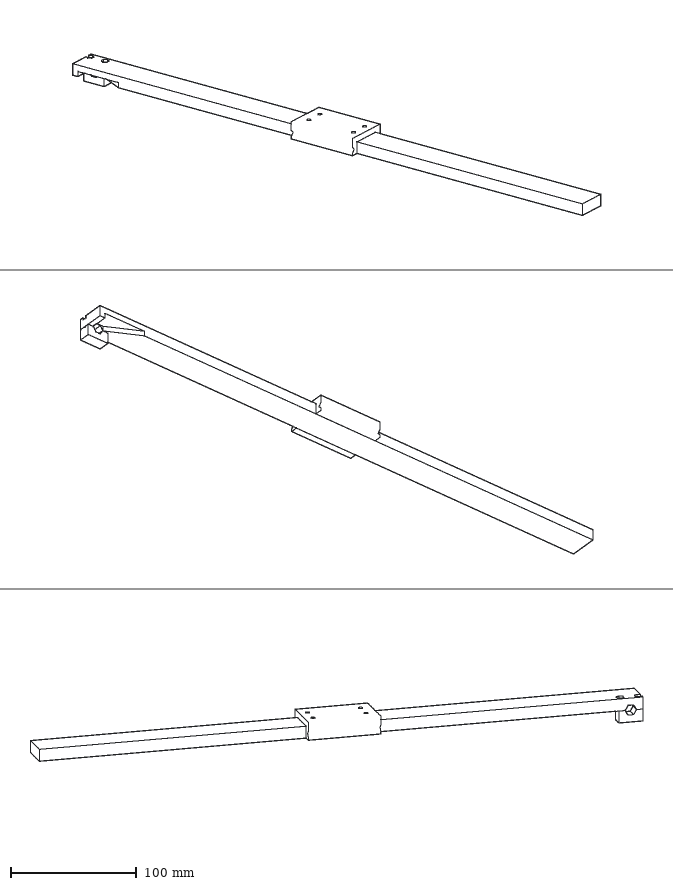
import cadquery as cq
import math

RAIL_LENGTH = 500.0
RAIL_WIDTH = 25.0
FOOT_LENGTH = 20.0
FOOT_WIDTH = 10.0
FOOT_HEIGHT = 10.0
RAIL_THICKNESS = 10.0
RAIL_TOP = FOOT_HEIGHT + RAIL_THICKNESS
RAIL_SIDE = RAIL_WIDTH / 2
FOOT_INNER_SIDE = RAIL_SIDE - FOOT_WIDTH

RECESS_START = 5.0
RECESS_FLAT_END = 15.0
RECESS_END = 45.0
RECESS_HEIGHT = 4.5

BORE_ACROSS_FLATS = 8.0
BORE_X = FOOT_LENGTH / 2

SCREW_HOLE_DIAMETER = 3.2
POCKET_ACROSS_FLATS = 5.5
POCKET_DEPTH = 2.0
POCKET_TURN = 30.0
FIXING_SPACING = 15.0
FIXING_Y = FOOT_INNER_SIDE + FOOT_WIDTH / 2

CARRIAGE_START = 219.0
CARRIAGE_LENGTH = 60.0
CARRIAGE_WIDTH = 38.0
CARRIAGE_TOP = 25.0
CARRIAGE_SIDE = CARRIAGE_WIDTH / 2
GROOVE_Z = 15.0
GROOVE_DEPTH = 2.75
EDGE_RADIUS = 0.5
HOLE_SPACING_X = 44.0
HOLE_SPACING_Y = 15.0
HOLE_PATTERN_X = RAIL_LENGTH / 2


def across_corners(across_flats):
    """Circumscribed diameter of a regular hexagon."""
    return across_flats / math.cos(math.pi / 6)


def make_hex_bore():
    """Hexagonal prism along Y, spanning the rail width, with flats at top and bottom."""
    return (
        cq.Workplane("XZ", origin=(BORE_X, RAIL_SIDE, FOOT_HEIGHT))
        .polygon(6, across_corners(BORE_ACROSS_FLATS))
        .extrude(RAIL_WIDTH)
    )


def make_recess():
    """Flat-backed pocket that runs out to the -Y side along a slanted wall."""
    return (
        cq.Workplane("XY", origin=(0, 0, FOOT_HEIGHT))
        .moveTo(RECESS_START, -RAIL_SIDE)
        .lineTo(RECESS_START, FOOT_INNER_SIDE)
        .lineTo(RECESS_FLAT_END, FOOT_INNER_SIDE)
        .lineTo(RECESS_END, -RAIL_SIDE)
        .close()
        .extrude(RECESS_HEIGHT)
    )


def make_fixing_hole(x):
    """Screw hole through the rail with a hexagonal pocket at the top, two corners along Y."""
    hole = (
        cq.Workplane("XY", origin=(x, FIXING_Y, FOOT_HEIGHT))
        .circle(SCREW_HOLE_DIAMETER / 2)
        .extrude(RAIL_THICKNESS)
    )
    pocket = (
        cq.Workplane("XY", origin=(x, FIXING_Y, RAIL_TOP - POCKET_DEPTH))
        .transformed(rotate=(0, 0, POCKET_TURN))
        .polygon(6, across_corners(POCKET_ACROSS_FLATS))
        .extrude(POCKET_DEPTH)
    )
    return hole.union(pocket)


def make_rail():
    rail = (
        cq.Workplane("XY", origin=(0, -RAIL_SIDE, FOOT_HEIGHT))
        .box(RAIL_LENGTH, RAIL_WIDTH, RAIL_THICKNESS, centered=False)
        .cut(make_recess())
        .cut(make_hex_bore())
    )
    for side in (-1, 1):
        rail = rail.cut(make_fixing_hole(BORE_X + side * FIXING_SPACING / 2))
    return rail


def make_foot():
    return (
        cq.Workplane("XY", origin=(0, FOOT_INNER_SIDE, 0))
        .box(FOOT_LENGTH, FOOT_WIDTH, FOOT_HEIGHT, centered=False)
        .cut(make_hex_bore())
    )


def make_side_groove(side):
    """V groove along one side of the carriage, with a rounded bottom."""
    groove_bottom = side * (CARRIAGE_SIDE - GROOVE_DEPTH)
    return (
        cq.Workplane("YZ", origin=(CARRIAGE_START, 0, GROOVE_Z))
        .moveTo(side * CARRIAGE_SIDE, GROOVE_DEPTH)
        .lineTo(groove_bottom, 0)
        .lineTo(side * CARRIAGE_SIDE, -GROOVE_DEPTH)
        .close()
        .extrude(CARRIAGE_LENGTH)
        .edges("<Y" if side > 0 else ">Y")
        .fillet(EDGE_RADIUS)
    )


def make_carriage():
    """Channel over the rail, grooved along both sides, with four holes down to the rail."""
    carriage = cq.Workplane("XY", origin=(CARRIAGE_START, -CARRIAGE_SIDE, FOOT_HEIGHT)).box(
        CARRIAGE_LENGTH, CARRIAGE_WIDTH, CARRIAGE_TOP - FOOT_HEIGHT, centered=False
    )
    rail_channel = cq.Workplane("XY", origin=(CARRIAGE_START, -RAIL_SIDE, FOOT_HEIGHT)).box(
        CARRIAGE_LENGTH, RAIL_WIDTH, RAIL_THICKNESS, centered=False
    )
    carriage = carriage.cut(rail_channel)
    for side in (-1, 1):
        carriage = carriage.cut(make_side_groove(side))
    carriage = carriage.edges("|X").edges("<Y or >Y").fillet(EDGE_RADIUS)
    holes = (
        cq.Workplane("XY", origin=(HOLE_PATTERN_X, 0, RAIL_TOP))
        .rarray(HOLE_SPACING_X, HOLE_SPACING_Y, 2, 2)
        .circle(SCREW_HOLE_DIAMETER / 2)
        .extrude(CARRIAGE_TOP - RAIL_TOP)
    )
    return carriage.cut(holes)


rail = make_rail()
foot = make_foot()
carriage = make_carriage()

bodies = [rail, foot, carriage]
result = cq.Compound.makeCompound([body.solids().val() for body in bodies])